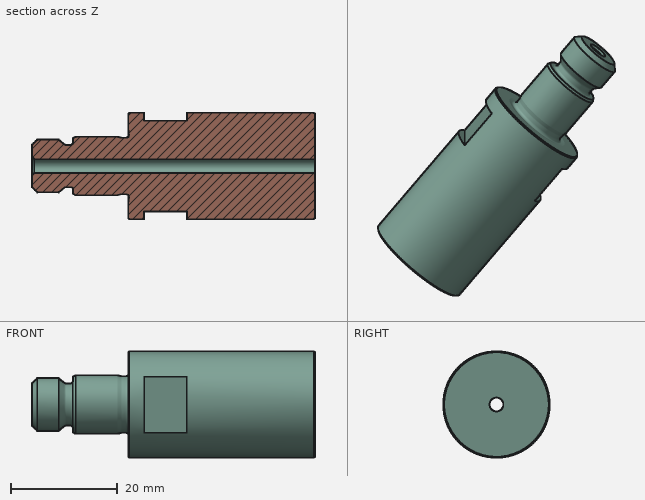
import cadquery as cq
import math

total_length = 53.0
bore_radius = 1.25
bore_chamfer = 0.5

tip_radius = 5.0
tip_chamfer = 1.0

neck_cone_start = 5.0
neck_cone_run = 1.2
neck_radius = 4.0
neck_fillet = 0.5
shank_start = 7.7

shank_radius = 5.5
shank_chamfer_length = 0.5
shank_chamfer_angle = math.radians(30)

body_start = 18.0
body_diameter = 20.0
body_chamfer = 0.2

relief_length = 2.0
relief_depth = 0.2
relief_face_depth = 0.1
relief_fillet = 0.6
relief_entry_angle = math.radians(15)
relief_face_angle = math.radians(8)

flat_start = 21.0
flat_length = 8.0
across_flats = 17.0

body_radius = body_diameter / 2
neck_cone_end = neck_cone_start + neck_cone_run
neck_cone_angle = math.atan2(tip_radius - neck_radius, neck_cone_run)
shank_chamfer_depth = shank_chamfer_length * math.tan(shank_chamfer_angle)


def arc_point(center, radius, angle):
    """Point on a circle, at an angle measured from the +X axis."""
    return (center[0] + radius * math.cos(angle), center[1] + radius * math.sin(angle))


def add_neck(profile):
    """Groove behind the tip: conical entry, rounded floor and a square shank shoulder."""
    entry_setback = neck_fillet * math.tan(neck_cone_angle / 2)
    center_r = neck_radius + neck_fillet
    entry_center = (neck_cone_end + entry_setback, center_r)
    wall_center = (shank_start - neck_fillet, center_r)
    down = -math.pi / 2
    return (
        profile.lineTo(neck_cone_start, tip_radius)
        .lineTo(*arc_point(entry_center, neck_fillet, down - neck_cone_angle))
        .threePointArc(
            arc_point(entry_center, neck_fillet, down - neck_cone_angle / 2),
            arc_point(entry_center, neck_fillet, down),
        )
        .lineTo(wall_center[0], neck_radius)
        .threePointArc(
            arc_point(wall_center, neck_fillet, down / 2),
            arc_point(wall_center, neck_fillet, 0),
        )
    )


def add_relief(profile):
    """Undercut that sinks below the shank and slightly into the body face."""
    floor_radius = shank_radius - relief_depth
    start = body_start - relief_length
    floor_start = start + relief_depth / math.tan(relief_entry_angle)
    center = (body_start + relief_face_depth - relief_fillet, floor_radius + relief_fillet)
    entry_center = (floor_start + relief_fillet * math.tan(relief_entry_angle / 2), center[1])
    down = -math.pi / 2
    face_angle = relief_face_angle
    arc_end = arc_point(center, relief_fillet, face_angle)
    face_radius = arc_end[1] + (arc_end[0] - body_start) / math.tan(face_angle)
    return (
        profile.lineTo(start, shank_radius)
        .lineTo(*arc_point(entry_center, relief_fillet, down - relief_entry_angle))
        .threePointArc(
            arc_point(entry_center, relief_fillet, down - relief_entry_angle / 2),
            arc_point(entry_center, relief_fillet, down),
        )
        .lineTo(center[0], floor_radius)
        .threePointArc(arc_point(center, relief_fillet, (down + face_angle) / 2), arc_end)
        .lineTo(body_start, face_radius)
    )


def turned_body():
    """Stud, body and through bore revolved from one half profile."""
    profile = (
        cq.Workplane("XY")
        .moveTo(0, bore_radius + bore_chamfer)
        .lineTo(0, tip_radius - tip_chamfer)
        .lineTo(tip_chamfer, tip_radius)
    )
    profile = add_neck(profile)
    profile = (
        profile.lineTo(shank_start, shank_radius - shank_chamfer_depth)
        .lineTo(shank_start + shank_chamfer_length, shank_radius)
    )
    profile = add_relief(profile)
    profile = (
        profile.lineTo(body_start, body_radius - body_chamfer)
        .lineTo(body_start + body_chamfer, body_radius)
        .lineTo(total_length - body_chamfer, body_radius)
        .lineTo(total_length, body_radius - body_chamfer)
        .lineTo(total_length, bore_radius)
        .lineTo(bore_chamfer, bore_radius)
        .close()
    )
    return profile.revolve(360, (0, 0, 0), (1, 0, 0))


def cut_wrench_flats(part):
    """Two opposite flats facing -Y and +Y."""
    for side in (-1, 1):
        cutter = cq.Workplane("XY").box(flat_length, body_radius, body_diameter)
        center_x = flat_start + flat_length / 2
        center_y = side * (across_flats + body_radius) / 2
        part = part.cut(cutter.translate((center_x, center_y, 0)))
    return part


result = cut_wrench_flats(turned_body())